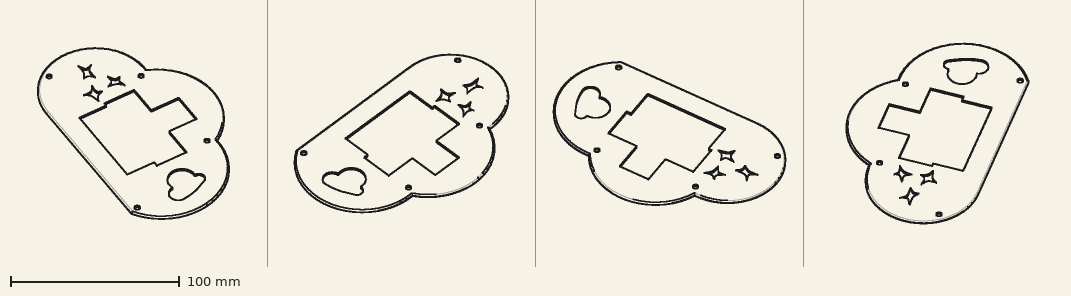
import cadquery as cq
import math

LENGTH = 148.5
THICKNESS = 1.5
EDGE_FILLET = 1.0
BOTTOM_Y = -46.6
BOTTOM_RIGHT_Y = -46.3

SIDE_LOBE_Y = -12.3
LEFT_RADIUS = SIDE_LOBE_Y - BOTTOM_Y
LEFT_LOBE = (LEFT_RADIUS - LENGTH / 2, SIDE_LOBE_Y, LEFT_RADIUS)
RIGHT_RADIUS = 40.1
RIGHT_LOBE = (LENGTH / 2 - RIGHT_RADIUS, SIDE_LOBE_Y, RIGHT_RADIUS)
TOP_LOBE = (-1.6, 6.8, 39.7)

WINDOW_STEP_Y = -13.7
WINDOW_SHOULDER_Y = 7.0
WINDOW_RECTANGLES = [
    (-25.8, 28.0, -32.4, WINDOW_STEP_Y),
    (-27.9, 31.2, WINDOW_STEP_Y, WINDOW_SHOULDER_Y),
    (-8.6, 11.5, WINDOW_SHOULDER_Y, 26.1),
]

SCREW_HOLES = [
    (-35.3, 16.5, 3.3),
    (29.7, 22.1, 3.3),
    (-63.5, -30.0, 3.3),
    (53.9, -41.5, 3.4),
]

SMALL_UPPER_LOBE = (53.0, 2.1, 3.7)
SMALL_LEFT_LOBE = (48.5, -7.0, 8.6)
SMALL_LOWER_LOBE = (56.9, -14.7, 5.6)
SMALL_BASE_START_ANGLE = 36
SMALL_BASE_BEND = (60.0, -3.7)
SMALL_BASE_ARC_MIDDLE = (61.5, -8.5)

STARS = [
    [((-41.5, 5.3), (-38.6, 3.4)), ((-34.0, 4.3), (-37.3, 0.7)),
     ((-38.3, -4.5), (-40.8, -0.7)), ((-45.3, -0.7), (-41.3, 2.1))],
    [((-58.4, -3.9), (-55.2, -7.1)), ((-48.7, -7.3), (-51.4, -10.0)),
     ((-51.5, -13.4), (-55.5, -11.0)), ((-61.6, -11.0), (-57.5, -8.3))],
    [((-36.8, -9.7), (-34.9, -13.8)), ((-31.3, -15.6), (-37.1, -17.2)),
     ((-40.0, -20.5), (-40.2, -15.5)), ((-44.0, -12.5), (-38.8, -12.6))],
]


def point_on(lobe, degrees):
    """Point of a lobe's circle at an angle measured from +X."""
    x, y, radius = lobe
    angle = math.radians(degrees)
    return (x + radius * math.cos(angle), y + radius * math.sin(angle))


def left_crossing(first, second):
    """Where two lobes cross, on the left when looking from the first centre to the second."""
    x1, y1, r1 = first
    x2, y2, r2 = second
    distance = math.hypot(x2 - x1, y2 - y1)
    ux = (x2 - x1) / distance
    uy = (y2 - y1) / distance
    along = (distance**2 + r1**2 - r2**2) / (2 * distance)
    aside = math.sqrt(r1**2 - along**2)
    return (x1 + along * ux - aside * uy, y1 + along * uy + aside * ux)


def plate():
    """Cloud-shaped plate with a rounded upper rim."""
    right_x, right_y, right_radius = RIGHT_LOBE
    bottom_right_x = right_x + math.sqrt(right_radius**2 - (right_y - BOTTOM_RIGHT_Y)**2)
    outline = (
        cq.Workplane("XY")
        .moveTo(LEFT_LOBE[0], BOTTOM_Y)
        .threePointArc(point_on(LEFT_LOBE, 180), left_crossing(LEFT_LOBE, TOP_LOBE))
        .threePointArc(point_on(TOP_LOBE, 90), left_crossing(TOP_LOBE, RIGHT_LOBE))
        .threePointArc(point_on(RIGHT_LOBE, 0), (bottom_right_x, BOTTOM_RIGHT_Y))
        .close()
    )
    return outline.extrude(THICKNESS).faces(">Z").edges().fillet(EDGE_FILLET)


def window():
    """Stepped window made of three stacked rectangles."""
    cutter = cq.Workplane("XY")
    for left, right, bottom, top in WINDOW_RECTANGLES:
        block = cq.Workplane("XY").box(right - left, top - bottom, THICKNESS, centered=False)
        cutter = cutter.union(block.translate((left, bottom, 0)))
    return cutter


def small_cloud():
    """Sideways cloud: three lobes, closed on the right by a line and a shallow arc."""
    return (
        cq.Workplane("XY")
        .moveTo(*point_on(SMALL_UPPER_LOBE, SMALL_BASE_START_ANGLE))
        .threePointArc(point_on(SMALL_UPPER_LOBE, 90), left_crossing(SMALL_LEFT_LOBE, SMALL_UPPER_LOBE))
        .threePointArc(point_on(SMALL_LEFT_LOBE, 180), left_crossing(SMALL_LOWER_LOBE, SMALL_LEFT_LOBE))
        .threePointArc(point_on(SMALL_LOWER_LOBE, 270), point_on(SMALL_LOWER_LOBE, 0))
        .threePointArc(SMALL_BASE_ARC_MIDDLE, SMALL_BASE_BEND)
        .close()
        .extrude(THICKNESS)
    )


def star(corners):
    """Four-pointed star whose hollow sides bend around the hollow points."""
    tips = [tip for tip, hollow in corners]
    next_tips = tips[1:] + tips[:1]
    outline = cq.Workplane("XY").moveTo(*tips[0])
    for (tip, hollow), next_tip in zip(corners, next_tips):
        control = tuple((4 * h - (t + n) / 2) / 3 for t, h, n in zip(tip, hollow, next_tip))
        outline = outline.bezier([tip, control, control, next_tip])
    return outline.close().extrude(THICKNESS)


result = plate().cut(window()).cut(small_cloud())
for corners in STARS:
    result = result.cut(star(corners))
for x, y, diameter in SCREW_HOLES:
    result = result.cut(cq.Workplane("XY").center(x, y).circle(diameter / 2).extrude(THICKNESS))